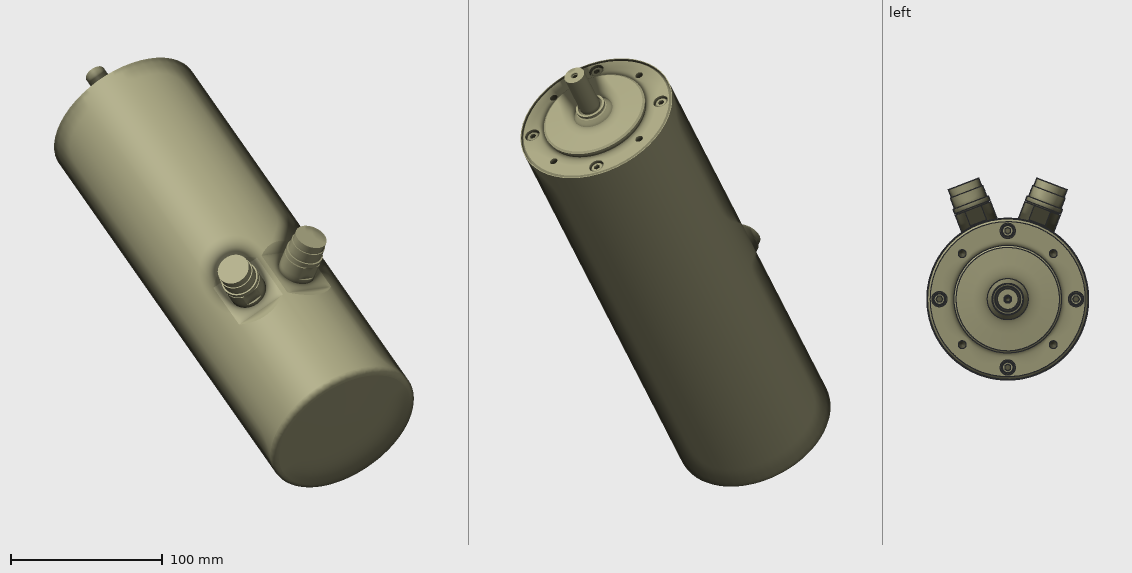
import cadquery as cq
import math

HOUSING_DIA = 107.0
SHAFT_REACH = 42.0
OVERALL_LENGTH = 348.0
END_CONE_HEIGHT = 0.7
HOUSING_LENGTH = OVERALL_LENGTH - SHAFT_REACH - END_CONE_HEIGHT
END_FILLET = 4.2
SEAM_DIA = 105.8
SEAM_WIDTH = 1.7
SEAM_DEPTH = 2.0

PILOT_DIA = 71.0
PILOT_HEIGHT = 5.0
PILOT_CHAMFER = 1.5
PILOT_CHAMFER_LENGTH = 1.0
RELIEF_DIA = 69.5
RELIEF_WIDTH = 2.0
PILOT_CONE_HEIGHT = 1.5
HUB_DIA = 27.0
HUB_HEIGHT = 9.5
HUB_TOP_DIA = 21.0
GROOVE_DIA = 18.0
GROOVE_WIDTH = 1.0
COLLAR_DIA = 20.0
COLLAR_HEIGHT = 12.2
COLLAR_MOUTH_DIA = 17.0
COLLAR_BORE_DIA = 16.0
COLLAR_RECESS = 1.0
NECK_DIA = 13.5
NECK_LENGTH = 1.7
SHAFT_DIA = 14.0
CENTRE_HOLE_DIA = 3.45
CENTRE_HOLE_DEPTH = 5.2
CENTRE_RECESS_DIA = 4.5
CENTRE_RECESS_DEPTH = 1.5
CENTRE_MOUTH_DIA = 5.2
CENTRE_MOUTH_DEPTH = 0.5

BORE_CIRCLE_DIA = 90.0
BORE_DIA = 10.0
BORE_DEPTH = 3.0
SCREW_HEAD_DIA = 8.5
SOCKET_DIA = 4.5
SOCKET_DEPTH = 3.0
SCREW_SINK = 1.0
SCREW_CHAMFER = 0.7
TAP_CIRCLE_DIA = 85.0
TAP_DIA = 5.2
TAP_DEPTH = 10.0
DRILL_TIP_ANGLE = 118.0

CONNECTOR_X = 204.3
CONNECTOR_TILT = 21.0
SEAT_RADIUS = 50.5
SEAT_LENGTH = 36.0
SEAT_RAMP_ANGLE = 20.0
TIP_RADIUS = 81.5
BODY_DIA = 25.0
FLAT_SPACING = 22.3
FLAT_BOTTOM = 3.5
BODY_TOP = 13.5
WAIST_DIA = 22.5
RING_BOTTOM = 14.5
RING_TOP = 17.7
RING_DIA = 25.0
SLEEVE_DIA = 23.0
SLEEVE_TOP = 25.5
CAP_DIA = 21.5


def turned(points):
    """Solid turned about X from its half outline."""
    return cq.Workplane("XY").polyline(points).close().revolve(360, (0, 0, 0), (1, 0, 0))


def housing_profile():
    """Half outline of the housing, boss and shaft, to be revolved about X."""
    return [
        (-SHAFT_REACH, 0),
        (-SHAFT_REACH, SHAFT_DIA / 2),
        (-COLLAR_HEIGHT - NECK_LENGTH, SHAFT_DIA / 2),
        (-COLLAR_HEIGHT - NECK_LENGTH, NECK_DIA / 2),
        (-COLLAR_HEIGHT + COLLAR_RECESS, NECK_DIA / 2),
        (-COLLAR_HEIGHT + COLLAR_RECESS, COLLAR_BORE_DIA / 2),
        (-COLLAR_HEIGHT, COLLAR_MOUTH_DIA / 2),
        (-COLLAR_HEIGHT, COLLAR_DIA / 2),
        (-HUB_HEIGHT - GROOVE_WIDTH, COLLAR_DIA / 2),
        (-HUB_HEIGHT - GROOVE_WIDTH, GROOVE_DIA / 2),
        (-HUB_HEIGHT, GROOVE_DIA / 2),
        (-HUB_HEIGHT, HUB_TOP_DIA / 2),
        (-PILOT_HEIGHT - PILOT_CONE_HEIGHT, HUB_DIA / 2),
        (-PILOT_HEIGHT, PILOT_DIA / 2 - PILOT_CHAMFER),
        (-PILOT_HEIGHT + PILOT_CHAMFER_LENGTH, PILOT_DIA / 2),
        (-RELIEF_WIDTH, PILOT_DIA / 2),
        (-RELIEF_WIDTH, RELIEF_DIA / 2),
        (0, RELIEF_DIA / 2),
        (0, SEAM_DIA / 2 - SEAM_WIDTH),
        (SEAM_DEPTH, SEAM_DIA / 2),
        (0, SEAM_DIA / 2),
        (0, HOUSING_DIA / 2),
        (HOUSING_LENGTH, HOUSING_DIA / 2),
        (HOUSING_LENGTH + END_CONE_HEIGHT, 0),
    ]


def drill_tip(dia):
    """Depth of the conical bottom that a drill leaves."""
    return dia / 2 / math.tan(math.radians(DRILL_TIP_ANGLE / 2))


def tapped_hole():
    """Blind hole along +X from the origin, with a conical bottom."""
    return turned([
        (0, 0),
        (0, TAP_DIA / 2),
        (TAP_DEPTH, TAP_DIA / 2),
        (TAP_DEPTH + drill_tip(TAP_DIA), 0),
    ])


def centre_hole():
    """Stepped hole along +X from the origin, with a chamfered mouth."""
    return turned([
        (0, 0),
        (0, CENTRE_MOUTH_DIA / 2),
        (CENTRE_MOUTH_DEPTH, CENTRE_RECESS_DIA / 2),
        (CENTRE_RECESS_DEPTH, CENTRE_RECESS_DIA / 2),
        (CENTRE_RECESS_DEPTH, CENTRE_HOLE_DIA / 2),
        (CENTRE_HOLE_DEPTH, CENTRE_HOLE_DIA / 2),
        (CENTRE_HOLE_DEPTH + drill_tip(CENTRE_HOLE_DIA), 0),
    ])


def screw_recess():
    """Bore holding a sunk screw head with a chamfered rim and a hexagon socket."""
    bore = cq.Workplane("YZ").circle(BORE_DIA / 2).extrude(BORE_DEPTH)
    head = (
        cq.Workplane("YZ", origin=(SCREW_SINK, 0, 0))
        .circle(SCREW_HEAD_DIA / 2)
        .extrude(BORE_DEPTH - SCREW_SINK)
        .faces("<X")
        .chamfer(SCREW_CHAMFER)
    )
    socket = (
        cq.Workplane("YZ", origin=(SCREW_SINK, 0, 0))
        .polygon(6, SOCKET_DIA)
        .extrude(SOCKET_DEPTH)
    )
    return bore.cut(head).union(socket)


def cut_pattern(housing, cutter, circle_dia, start_angle):
    """Cuts four copies of a recess into the mounting face, evenly round the axis."""
    for quarter in range(4):
        copy = cutter.translate((0, circle_dia / 2, 0))
        housing = housing.cut(copy.rotate((0, 0, 0), (1, 0, 0), start_angle + quarter * 90))
    return housing


def tilted(shape, side):
    """Turns a shape built upright on the motor axis to its connector place."""
    return shape.rotate((0, 0, 0), (1, 0, 0), side * CONNECTOR_TILT).translate((CONNECTOR_X, 0, 0))


def seat_cutter():
    """Flat seat across the housing, with a ramp rising from each end."""
    rise = HOUSING_DIA / 2
    run = rise / math.tan(math.radians(SEAT_RAMP_ANGLE))
    half = SEAT_LENGTH / 2
    return (
        cq.Workplane("XZ")
        .polyline([
            (-half, SEAT_RADIUS),
            (half, SEAT_RADIUS),
            (half + run, SEAT_RADIUS + rise),
            (-half - run, SEAT_RADIUS + rise),
        ])
        .close()
        .extrude(HOUSING_DIA / 2, both=True)
    )


def make_housing():
    housing = turned(housing_profile())
    end_edge = cq.selectors.BoxSelector(
        (HOUSING_LENGTH - END_FILLET, -HOUSING_DIA, -HOUSING_DIA),
        (HOUSING_LENGTH + END_CONE_HEIGHT / 2, HOUSING_DIA, HOUSING_DIA),
        boundingbox=True,
    )
    housing = housing.edges(end_edge).edges("%CIRCLE").fillet(END_FILLET)
    housing = housing.cut(centre_hole().translate((-SHAFT_REACH, 0, 0)))
    housing = cut_pattern(housing, screw_recess(), BORE_CIRCLE_DIA, 0)
    housing = cut_pattern(housing, tapped_hole(), TAP_CIRCLE_DIA, 45)
    for side in (-1, 1):
        housing = housing.cut(tilted(seat_cutter(), side))
    return housing


def connector_stage(bottom, top, dia):
    return (
        cq.Workplane("XY", origin=(0, 0, SEAT_RADIUS + bottom))
        .circle(dia / 2)
        .extrude(top - bottom)
    )


def make_connector(side):
    """Round connector with a pair of wrench flats facing along X."""
    body = connector_stage(0, BODY_TOP, BODY_DIA)
    flat_height = BODY_TOP - FLAT_BOTTOM
    for direction in (-1, 1):
        flat = cq.Workplane("XY").box(BODY_DIA, BODY_DIA, flat_height).translate((
            direction * (FLAT_SPACING + BODY_DIA) / 2,
            0,
            SEAT_RADIUS + FLAT_BOTTOM + flat_height / 2,
        ))
        body = body.cut(flat)
    connector = (
        body.union(connector_stage(BODY_TOP, RING_BOTTOM, WAIST_DIA))
        .union(connector_stage(RING_BOTTOM, RING_TOP, RING_DIA))
        .union(connector_stage(RING_TOP, SLEEVE_TOP, SLEEVE_DIA))
        .union(connector_stage(SLEEVE_TOP, TIP_RADIUS - SEAT_RADIUS, CAP_DIA))
    )
    return tilted(connector, side)


housing = make_housing()
connectors = [make_connector(side) for side in (-1, 1)]

result = cq.Compound.makeCompound([housing.val(), *[connector.val() for connector in connectors]])